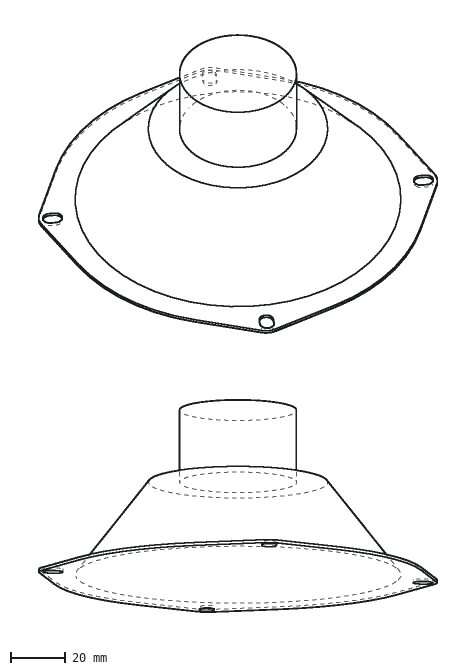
import cadquery as cq
import math

flange_radius = 69.0
flange_thickness = 1.1
corner_angle = 45.0
tangent_angle = 22.5
corner_round = 6.9

hole_circle_radius = 69.0
slot_width = 5.2
slot_length = 7.2

basket_base_radius = 59.9
basket_top_radius = 33.0
basket_top_height = 35.6
magnet_diameter = 43.0
total_height = 62.5

corner_angles = [corner_angle + 90.0 * i for i in range(4)]


def polar(radius, angle):
    """Point at a radius and an angle in degrees."""
    return (radius * math.cos(math.radians(angle)), radius * math.sin(math.radians(angle)))


def make_flange():
    corner_radius = flange_radius / math.cos(math.radians(tangent_angle))
    outline = cq.Workplane("XY").moveTo(*polar(flange_radius, -corner_angle + tangent_angle))
    for angle in corner_angles:
        outline = (
            outline
            .threePointArc(polar(flange_radius, angle - corner_angle), polar(flange_radius, angle - tangent_angle))
            .lineTo(*polar(corner_radius, angle))
            .lineTo(*polar(flange_radius, angle + tangent_angle))
        )
    flange = outline.close().extrude(flange_thickness)
    for angle in corner_angles:
        corner = cq.selectors.NearestToPointSelector((*polar(corner_radius, angle), flange_thickness / 2))
        flange = flange.edges(corner).fillet(corner_round)
    return flange


def make_slot(angle):
    return (
        cq.Workplane("XY")
        .center(*polar(hole_circle_radius, angle))
        .slot2D(slot_length, slot_width, angle)
        .extrude(flange_thickness)
    )


def make_basket_and_magnet():
    profile = [
        (0, 0),
        (basket_base_radius, 0),
        (basket_base_radius, flange_thickness),
        (basket_top_radius, basket_top_height),
        (magnet_diameter / 2, basket_top_height),
        (magnet_diameter / 2, total_height),
        (0, total_height),
    ]
    return cq.Workplane("XZ").polyline(profile).close().revolve(360, (0, 0), (0, 1))


flange = make_flange()
for angle in corner_angles:
    flange = flange.cut(make_slot(angle))

result = flange.union(make_basket_and_magnet())